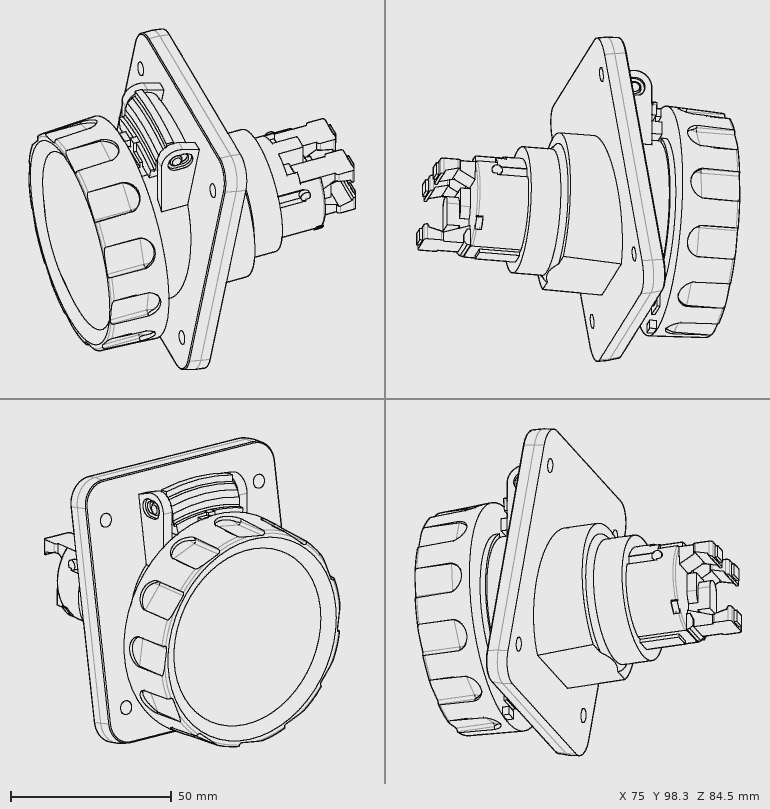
import math

import cadquery as cq


OVERLAP = 1.0

CAP_REAR_RADIUS = 36.0
CAP_FRONT_RADIUS = 35.1
CAP_LENGTH = 18.7
CAP_EDGE_ROUND = 0.8
RIM_INNER_RADIUS = 33.0
DOME_RADIUS = 28.8
DOME_APEX = 21.8
DOME_CURVATURE = 77.7
FLUTE_COUNT = 12
FLUTE_WIDTH = 9.9
FLUTE_DEPTH = 1.4
FLUTE_CORNER_SIZE = 1.0
FLUTE_START = 2.7
FLUTE_FLAT_START = 6.4
LUG_WIDTH = 4.1
LUG_TOP = 35.5
LUG_HEIGHT = 2.7
LUG_LENGTH = 2.2
LUG_OFFSET = 3.3

BODY_RADIUS = 25.0
BODY_REAR = 33.4
BODY_FLOOR = -20.1
BODY_FLOOR_SLOPE = 1.9
COLLAR_RADIUS = 26.2
COLLAR_LENGTH = 1.8
COLLAR_GAP_HALF_WIDTH = 13.3
CONE_RADIUS = 21.7
NECK_RADIUS = 19.8
NECK_FRONT = 35.3
NECK_REAR = 44.75
STOP_RADIUS = 3.8
STOP_Z = -24.4
STOP_LENGTH = 7.0
STOP_TIP_BOTTOM = -29.9
STOP_TIP_LENGTH = 1.0

PLATE_TILT = 10.0
PLATE_WIDTH = 75.0
PLATE_HEIGHT = 85.0
PLATE_CORNER = 8.0
PLATE_CENTER_Y = 19.3
PLATE_CENTER_Z = 5.5
PLATE_BACK_THICKNESS = 3.3
PLATE_FRONT_THICKNESS = 4.0
PLATE_FRONT_DRAFT = 7.0
PLATE_EDGE_CHAMFER = 0.35
HOLE_DIAMETER = 4.3
HOLE_SPACING = 60.0
HOLE_CENTER_Z = 6.1

HINGE_Y = 10.8
HINGE_Z = 37.95
BRACKET_INNER_X = 13.0
BRACKET_OUTER_X = 16.4
BRACKET_RADIUS = 5.35
BRACKET_BOTTOM = 18.8
BRACKET_BACK_Z = 41.0
BRACKET_SLOPE_START = 18.3
BRACKET_SLOPE_ANGLE = 70.0
RECESS_Y = 11.8
RECESS_LENGTH = 8.3
RECESS_HEIGHT = 5.9
RECESS_STEP = 1.0
PIN_RADIUS = 2.0
PIN_CHAMFER = 0.5
KNUCKLE_RADIUS = 5.8
KNUCKLE_FACET_COUNT = 4
KNUCKLE_FACET_ANGLE = 22.5
KNUCKLE_BARREL_RADIUS = 60.0
KNUCKLE_SWEEP = 30
KNUCKLE_RIB_WIDTH = 2.4
KNUCKLE_TOP = 45.3
LEAF_BOTTOM = 30.6
LEAF_TOP = 36.2
LIP_STEP = 1.0
LIP_FRONT = 3.05
LIP_BACK = 4.3
LEAF_BACK = 8.0
ARM_HALF_WIDTH = 6.6
ARM_BOTTOM = 26.5
CATCH_FRONT = 2.15
CATCH_TOP = 32.5
KNOB_HALF_WIDTH = 1.3

INSERT_RADIUS = 16.1
INSERT_REAR = 60.9
INSERT_EDGE_ROUND = 0.6
INSERT_FLAT_Z = -15.3
WEB_HALF_WIDTH = 2.6
WEB_REAR = 58.7
POCKET_OUTER_X = 12.2
POCKET_FRONT = 53.9
POCKET_FLOOR = 7.0
SHELF_OUTER_X = 9.6
SHELF_FRONT = 50.4
SHELF_FLOOR = 10.6
SIDE_SLOT_Y = 54.55
SIDE_SLOT_Z = 6.95
SIDE_SLOT_WIDTH = 3.3
SIDE_SLOT_FLOOR_X = 13.3
SIDE_PIN_OUTER_X = 15.0
KEY_HALF_WIDTH = 3.0
KEY_BOTTOM = -16.4
KEY_REAR = 57.6
FOOT_Z = -10.4
FOOT_WIDTH = 3.8
FOOT_FRONT = 58.8
FOOT_OUTER_X = 13.9
FOOT_RADIUS = 16.5
POST_WIDTH = 6.3
POST_BOTTOM = -8.1
POST_TOP = 2.3
POST_REAR = 67.9
POST_BASE_REAR = 64.0
POST_BASE_MARGIN = 1.6
POST_BASE_ROUND_Z = -2.1

TERMINAL_ROOT = 53.9
TERMINAL_HEAD_WIDTH = 10.3
TERMINAL_NECK_WIDTH = 8.3
TERMINAL_HEAD_LENGTH = 6.3
TERMINAL_HEAD_ROUND = 0.9
TERMINAL_WAIST_THICKNESS = 2.9
TERMINAL_WAIST_OFFSET = 0.5
TERMINAL_JAW_ROOT_DROP = 4.0
TERMINAL_LIP_LENGTH = 1.0
TERMINAL_JAW_DROP = 5.0
TERMINAL_ROOT_DROP = 5.9
TERMINAL_NUB_WIDTH = 4.6
TERMINAL_NUB_LENGTH = 0.9
TERMINAL_NUB_INSET = 0.6
UPPER_TERMINAL_X = 7.65
UPPER_TERMINAL_Z = 10.3
UPPER_TERMINAL_END = 72.0
LOWER_TERMINAL_Z = -14.1
LOWER_TERMINAL_END = 75.6
HEEL_TOP = -9.8
HEEL_BOTTOM = -15.0
HEEL_REAR = 63.0
HEEL_BEVEL = 1.0


def box_between(x0, x1, y0, y1, z0, z1):
    return cq.Workplane("XY").box(x1 - x0, y1 - y0, z1 - z0, centered=False).translate((x0, y0, z0))


def disc(radius, y0, y1):
    """Cylinder on the Y axis from y0 to y1."""
    return cq.Workplane("XZ", origin=(0, y1, 0)).circle(radius).extrude(y1 - y0)


def side_profile(x):
    """Workplane at the given X whose local axes are Y and Z, extruding to +X."""
    return cq.Workplane("YZ", origin=(x, 0, 0))


def flute_section(y, depth):
    """Cross-section of a flute at the given Y, with a rounded corner at its deep flank."""
    half = FLUTE_WIDTH / 2
    clear = CAP_REAR_RADIUS + OVERLAP
    shallow_z = math.sqrt(CAP_FRONT_RADIUS ** 2 - half ** 2)
    deep_z = shallow_z - depth
    floor_angle = math.atan2(depth, FLUTE_WIDTH)
    floor_end = (
        half - FLUTE_CORNER_SIZE * math.cos(floor_angle),
        deep_z + FLUTE_CORNER_SIZE * math.sin(floor_angle),
    )
    return (
        cq.Workplane("XZ", origin=(0, y, 0))
        .moveTo(-half, shallow_z)
        .lineTo(*floor_end)
        .tangentArcPoint((half, deep_z + FLUTE_CORNER_SIZE), relative=False)
        .lineTo(half, clear)
        .lineTo(-half, clear)
        .close()
    )


def make_flute_cutter():
    """Ratchet-shaped flute at the top of the cap, deepest on its +X flank."""
    half = FLUTE_WIDTH / 2
    straight = flute_section(-FLUTE_FLAT_START, FLUTE_DEPTH).extrude(CAP_LENGTH)
    ramp_start = flute_section(-FLUTE_START, 0).wires().val()
    ramp_end = flute_section(-FLUTE_FLAT_START, FLUTE_DEPTH).wires().val()
    ramp = cq.Workplane(cq.Solid.makeLoft([ramp_start, ramp_end], True))
    footprint = (
        cq.Workplane("XY")
        .moveTo(-half, -2 * CAP_LENGTH)
        .lineTo(-half, -FLUTE_FLAT_START)
        .threePointArc((0, -FLUTE_START), (half, -FLUTE_FLAT_START))
        .lineTo(half, -2 * CAP_LENGTH)
        .close()
        .extrude(2 * CAP_REAR_RADIUS)
    )
    return straight.union(ramp).intersect(footprint)


def make_cap():
    dome_center = DOME_CURVATURE - DOME_APEX
    dome_edge = dome_center - math.sqrt(DOME_CURVATURE ** 2 - DOME_RADIUS ** 2)
    round_middle = CAP_EDGE_ROUND * (1 - math.sqrt(0.5))
    mid_radius = DOME_RADIUS / 2
    dome_mid = dome_center - math.sqrt(DOME_CURVATURE ** 2 - mid_radius ** 2)
    cap = (
        cq.Workplane("XY")
        .moveTo(0, 0)
        .lineTo(CAP_REAR_RADIUS, 0)
        .lineTo(CAP_FRONT_RADIUS, -CAP_LENGTH + CAP_EDGE_ROUND)
        .threePointArc(
            (CAP_FRONT_RADIUS - round_middle, -CAP_LENGTH + round_middle),
            (CAP_FRONT_RADIUS - CAP_EDGE_ROUND, -CAP_LENGTH),
        )
        .lineTo(RIM_INNER_RADIUS, -CAP_LENGTH)
        .lineTo(DOME_RADIUS, dome_edge)
        .threePointArc((mid_radius, dome_mid), (0, -DOME_APEX))
        .close()
        .revolve(360, (0, 0, 0), (0, 1, 0))
    )
    cutter = make_flute_cutter()
    for i in range(FLUTE_COUNT):
        cap = cap.cut(cutter.rotate((0, 0, 0), (0, 1, 0), i * 360 / FLUTE_COUNT))
    lug = box_between(
        -LUG_OFFSET - LUG_WIDTH / 2, -LUG_OFFSET + LUG_WIDTH / 2,
        -OVERLAP, LUG_LENGTH,
        LUG_TOP - LUG_HEIGHT, LUG_TOP,
    )
    for angle in (0, 180):
        cap = cap.union(lug.rotate((0, 0, 0), (0, 1, 0), angle))
    return cap


def make_body():
    body = disc(BODY_RADIUS, -OVERLAP, BODY_REAR)
    shoulder = (
        cq.Workplane("XY")
        .polyline([
            (0, BODY_REAR - OVERLAP),
            (CONE_RADIUS, BODY_REAR - OVERLAP),
            (CONE_RADIUS, BODY_REAR),
            (NECK_RADIUS, NECK_FRONT),
            (NECK_RADIUS, NECK_REAR),
            (0, NECK_REAR),
        ])
        .close()
        .revolve(360, (0, 0, 0), (0, 1, 0))
    )
    body = body.union(shoulder)

    plate_lean = (PLATE_CENTER_Z - BODY_FLOOR) * math.tan(math.radians(PLATE_TILT))
    flat_front = PLATE_CENTER_Y - plate_lean - PLATE_BACK_THICKNESS
    floor_drop = (NECK_FRONT - flat_front) * math.tan(math.radians(BODY_FLOOR_SLOPE))
    underside = (
        side_profile(-BODY_RADIUS)
        .polyline([
            (NECK_FRONT, BODY_FLOOR),
            (flat_front, BODY_FLOOR - floor_drop),
            (flat_front, -BODY_RADIUS - OVERLAP),
            (NECK_FRONT, -BODY_RADIUS - OVERLAP),
        ])
        .close()
        .extrude(2 * BODY_RADIUS)
    )
    body = body.cut(underside)

    collar = disc(COLLAR_RADIUS, -OVERLAP, COLLAR_LENGTH).cut(
        box_between(-COLLAR_GAP_HALF_WIDTH, COLLAR_GAP_HALF_WIDTH, -OVERLAP, COLLAR_LENGTH, 0, COLLAR_RADIUS)
    )
    stop = disc(STOP_RADIUS, -OVERLAP, STOP_LENGTH).translate((0, 0, STOP_Z))
    stop_tip = box_between(
        -STOP_RADIUS, STOP_RADIUS, -OVERLAP, STOP_TIP_LENGTH, STOP_TIP_BOTTOM, STOP_Z
    )
    stop = stop.union(stop_tip)
    return body.union(collar).union(stop)


def make_plate():
    tilt = math.radians(PLATE_TILT)
    back_plane = cq.Plane(
        origin=(0, PLATE_CENTER_Y, PLATE_CENTER_Z),
        xDir=(1, 0, 0),
        normal=(0, -math.cos(tilt), math.sin(tilt)),
    )
    outline = cq.Sketch().rect(PLATE_WIDTH, PLATE_HEIGHT).vertices().fillet(PLATE_CORNER)
    back = cq.Workplane(back_plane).placeSketch(outline).extrude(PLATE_BACK_THICKNESS)
    front = (
        cq.Workplane(back_plane)
        .workplane(offset=PLATE_BACK_THICKNESS)
        .placeSketch(outline)
        .extrude(PLATE_FRONT_THICKNESS, taper=PLATE_FRONT_DRAFT)
        .faces(cq.selectors.DirectionMinMaxSelector(back_plane.zDir, True))
        .chamfer(PLATE_EDGE_CHAMFER)
    )
    holes = (
        cq.Workplane("XZ", origin=(0, PLATE_HEIGHT / 2, HOLE_CENTER_Z))
        .rect(HOLE_SPACING, HOLE_SPACING * math.cos(tilt), forConstruction=True)
        .vertices()
        .circle(HOLE_DIAMETER / 2)
        .extrude(PLATE_HEIGHT)
    )
    return back.union(front).cut(holes)


def make_bracket():
    """Hinge bracket on the +X side with a stepped recess around the pin."""
    width = BRACKET_OUTER_X - BRACKET_INNER_X
    front_y = HINGE_Y - BRACKET_RADIUS
    arc_angle = math.radians(BRACKET_SLOPE_ANGLE)
    arc_start = (
        HINGE_Y + BRACKET_RADIUS * math.cos(arc_angle),
        HINGE_Z + BRACKET_RADIUS * math.sin(arc_angle),
    )
    arc_middle = (
        HINGE_Y - BRACKET_RADIUS * math.sqrt(0.5),
        HINGE_Z + BRACKET_RADIUS * math.sqrt(0.5),
    )
    rear_y = PLATE_CENTER_Y + OVERLAP
    bracket = (
        side_profile(BRACKET_INNER_X)
        .moveTo(rear_y, BRACKET_BACK_Z)
        .lineTo(BRACKET_SLOPE_START, BRACKET_BACK_Z)
        .lineTo(*arc_start)
        .threePointArc(arc_middle, (front_y, HINGE_Z))
        .lineTo(front_y, BRACKET_BOTTOM)
        .lineTo(PLATE_CENTER_Y - PLATE_BACK_THICKNESS, BRACKET_BOTTOM)
        .close()
        .extrude(width)
    )
    for step in (0, 1):
        inset = 2 * step * RECESS_STEP
        recess = (
            side_profile(BRACKET_OUTER_X - (step + 1) * RECESS_STEP)
            .center(RECESS_Y, HINGE_Z)
            .slot2D(RECESS_LENGTH - inset, RECESS_HEIGHT - inset)
            .extrude(2 * RECESS_STEP)
        )
        bracket = bracket.cut(recess)
    pin = (
        side_profile(BRACKET_INNER_X)
        .center(HINGE_Y, HINGE_Z)
        .circle(PIN_RADIUS)
        .extrude(width - RECESS_STEP / 2)
        .faces(">X")
        .chamfer(PIN_CHAMFER)
    )
    return bracket.union(pin)


def make_knuckle():
    """Crowned hinge knuckle with its rib, leaf and the arm that reaches the cap."""
    axis_z = KNUCKLE_TOP - KNUCKLE_BARREL_RADIUS

    def crowned(profile):
        solid = profile.revolve(KNUCKLE_SWEEP, (0, axis_z, 0), (1, axis_z, 0))
        return solid.rotate((0, 0, axis_z), (0, 1, axis_z), -KNUCKLE_SWEEP / 2)

    facet_radius = KNUCKLE_RADIUS / math.cos(math.radians(KNUCKLE_FACET_ANGLE / 2))
    facets = []
    for i in reversed(range(KNUCKLE_FACET_COUNT + 1)):
        angle = math.radians((i - 0.5) * KNUCKLE_FACET_ANGLE)
        facets.append((HINGE_Y - facet_radius * math.cos(angle), HINGE_Z + facet_radius * math.sin(angle)))

    barrel = crowned(side_profile(0).moveTo(HINGE_Y, HINGE_Z).circle(KNUCKLE_RADIUS))
    rib = crowned(side_profile(0).polyline([
        (HINGE_Y, HINGE_Z),
        (HINGE_Y, KNUCKLE_TOP),
        (HINGE_Y - KNUCKLE_RIB_WIDTH, KNUCKLE_TOP),
        (HINGE_Y - KNUCKLE_RIB_WIDTH, HINGE_Z),
    ]).close())
    leaf = crowned(side_profile(0).polyline([
        (HINGE_Y, HINGE_Z),
        *facets,
        (LIP_BACK, LEAF_TOP - LIP_STEP),
        (LIP_BACK, LEAF_TOP),
        (LIP_FRONT, LEAF_TOP),
        (LIP_FRONT, LEAF_BOTTOM),
        (LEAF_BACK, LEAF_BOTTOM),
    ]).close())
    limits = box_between(-BRACKET_INNER_X, BRACKET_INNER_X, 0, PLATE_CENTER_Y, LEAF_BOTTOM, KNUCKLE_TOP)
    knuckle = barrel.union(rib).union(leaf).intersect(limits)
    arm = box_between(
        -ARM_HALF_WIDTH, ARM_HALF_WIDTH, -OVERLAP, HINGE_Y - BRACKET_RADIUS, ARM_BOTTOM, LEAF_BOTTOM
    )
    catch = box_between(-ARM_HALF_WIDTH, ARM_HALF_WIDTH, CATCH_FRONT, LIP_BACK, ARM_BOTTOM, CATCH_TOP)
    knob = box_between(-KNOB_HALF_WIDTH, KNOB_HALF_WIDTH, CATCH_FRONT, LIP_BACK, ARM_BOTTOM, LEAF_TOP)
    return knuckle.union(arm).union(catch).union(knob)


def make_insert():
    insert = disc(INSERT_RADIUS, NECK_REAR - OVERLAP, INSERT_REAR)
    insert = insert.faces(">Y").edges().fillet(INSERT_EDGE_ROUND)
    top = INSERT_RADIUS + OVERLAP
    web_end = box_between(
        -POCKET_OUTER_X, POCKET_OUTER_X, WEB_REAR, INSERT_REAR, POCKET_FLOOR, top
    )
    insert = insert.cut(web_end)
    insert = insert.cut(
        box_between(-INSERT_RADIUS, INSERT_RADIUS, NECK_REAR, INSERT_REAR, -INSERT_RADIUS, INSERT_FLAT_Z)
    )
    for side in (-1, 1):
        pocket = box_between(
            WEB_HALF_WIDTH, POCKET_OUTER_X, POCKET_FRONT, INSERT_REAR, POCKET_FLOOR, top
        )
        shelf = box_between(
            WEB_HALF_WIDTH, SHELF_OUTER_X, SHELF_FRONT, POCKET_FRONT, SHELF_FLOOR, top
        )
        side_slot = box_between(
            SIDE_SLOT_FLOOR_X, INSERT_RADIUS, NECK_REAR, SIDE_SLOT_Y,
            SIDE_SLOT_Z - SIDE_SLOT_WIDTH / 2, SIDE_SLOT_Z + SIDE_SLOT_WIDTH / 2,
        )
        side_pin = (
            side_profile(SIDE_SLOT_FLOOR_X - OVERLAP)
            .center(SIDE_SLOT_Y, SIDE_SLOT_Z)
            .circle(SIDE_SLOT_WIDTH / 2)
            .extrude(SIDE_PIN_OUTER_X - SIDE_SLOT_FLOOR_X + OVERLAP)
        )
        foot = box_between(
            SIDE_SLOT_FLOOR_X - 2 * OVERLAP, FOOT_OUTER_X, FOOT_FRONT, INSERT_REAR,
            FOOT_Z - FOOT_WIDTH / 2, FOOT_Z + FOOT_WIDTH / 2,
        ).intersect(disc(FOOT_RADIUS, FOOT_FRONT, INSERT_REAR))
        cuts = pocket.union(shelf).union(side_slot)
        additions = side_pin.union(foot)
        if side < 0:
            cuts = cuts.mirror("YZ")
            additions = additions.mirror("YZ")
        insert = insert.cut(cuts).union(additions)
    key = box_between(-KEY_HALF_WIDTH, KEY_HALF_WIDTH, NECK_REAR - OVERLAP, KEY_REAR, KEY_BOTTOM, 0)
    return insert.union(key)


def make_post():
    """Round-topped post between the terminals on a wider base with a round lower end and a stem."""
    front = INSERT_REAR - OVERLAP
    half = POST_WIDTH / 2
    post = disc(half, front, POST_REAR).translate((0, 0, POST_TOP - half)).union(
        box_between(-half, half, front, POST_REAR, POST_BOTTOM, POST_TOP - half)
    )
    base_half = half + POST_BASE_MARGIN
    base = disc(base_half, front, POST_BASE_REAR).translate((0, 0, POST_BASE_ROUND_Z)).union(
        box_between(
            -base_half, base_half, front, POST_BASE_REAR, POST_BASE_ROUND_Z, POST_TOP + POST_BASE_MARGIN
        )
    )
    stem = box_between(-half, half, front, POST_BASE_REAR, POST_BOTTOM - POST_BASE_MARGIN, POST_BASE_ROUND_Z)
    base = base.union(stem)
    return post.union(base)


def make_terminal(end_y):
    """Terminal with its flat outer face at Z = 0, its jaws below and its end at end_y."""
    head_front = end_y - TERMINAL_HEAD_LENGTH
    blade = (
        side_profile(-TERMINAL_HEAD_WIDTH / 2)
        .polyline([
            (TERMINAL_ROOT, 0),
            (end_y, 0),
            (end_y, -TERMINAL_JAW_DROP),
            (end_y - TERMINAL_LIP_LENGTH, -TERMINAL_JAW_DROP),
            (end_y - 1.5 * TERMINAL_LIP_LENGTH, -TERMINAL_JAW_ROOT_DROP),
            (head_front + TERMINAL_WAIST_OFFSET, -TERMINAL_WAIST_THICKNESS),
            (INSERT_REAR, -TERMINAL_ROOT_DROP),
            (TERMINAL_ROOT, -TERMINAL_ROOT_DROP),
        ])
        .close()
        .extrude(TERMINAL_HEAD_WIDTH)
    )
    head = (
        box_between(
            -TERMINAL_HEAD_WIDTH / 2, TERMINAL_HEAD_WIDTH / 2, head_front, end_y, -TERMINAL_ROOT_DROP, 0
        )
        .edges("|Z")
        .fillet(TERMINAL_HEAD_ROUND)
    )
    neck = box_between(
        -TERMINAL_NECK_WIDTH / 2, TERMINAL_NECK_WIDTH / 2,
        TERMINAL_ROOT, end_y - OVERLAP,
        -TERMINAL_ROOT_DROP, 0,
    )
    nub = box_between(
        -TERMINAL_NUB_WIDTH / 2, TERMINAL_NUB_WIDTH / 2,
        end_y - OVERLAP, end_y + TERMINAL_NUB_LENGTH,
        -TERMINAL_JAW_DROP + TERMINAL_NUB_INSET, -TERMINAL_NUB_INSET,
    )
    return blade.intersect(head.union(neck)).union(nub)


def make_terminals():
    upper = make_terminal(UPPER_TERMINAL_END)
    lower = make_terminal(LOWER_TERMINAL_END).mirror("XY").translate((0, 0, LOWER_TERMINAL_Z))
    heel = (
        side_profile(-TERMINAL_HEAD_WIDTH / 2)
        .polyline([
            (INSERT_REAR - OVERLAP, HEEL_TOP),
            (HEEL_REAR - HEEL_BEVEL, HEEL_TOP),
            (HEEL_REAR, HEEL_TOP - 2 * HEEL_BEVEL),
            (HEEL_REAR, HEEL_BOTTOM + HEEL_BEVEL),
            (HEEL_REAR - HEEL_BEVEL, HEEL_BOTTOM),
            (INSERT_REAR - OVERLAP, HEEL_BOTTOM),
        ])
        .close()
        .extrude(TERMINAL_HEAD_WIDTH)
    )
    terminals = lower.union(heel)
    for side in (-1, 1):
        terminals = terminals.union(upper.translate((side * UPPER_TERMINAL_X, 0, UPPER_TERMINAL_Z)))
    return terminals


right_bracket = make_bracket()

result = (
    make_body()
    .union(make_cap())
    .union(make_plate())
    .union(right_bracket)
    .union(right_bracket.mirror("YZ"))
    .union(make_knuckle())
    .union(make_insert())
    .union(make_post())
    .union(make_terminals())
)